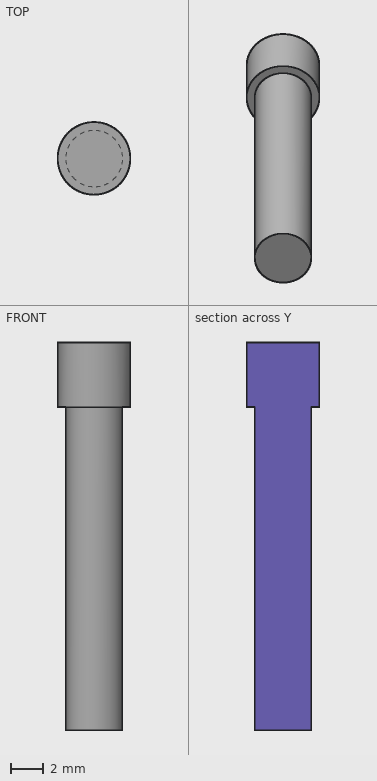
import cadquery as cq

total_length = 24.0
head_diameter = 4.5
head_length = 4.0
shank_diameter = 3.5
shank_length = total_length - head_length

shank = cq.Workplane("XY").circle(shank_diameter / 2).extrude(shank_length)

head = (
    cq.Workplane("XY")
    .workplane(offset=shank_length)
    .circle(head_diameter / 2)
    .extrude(head_length)
)

result = shank.union(head)